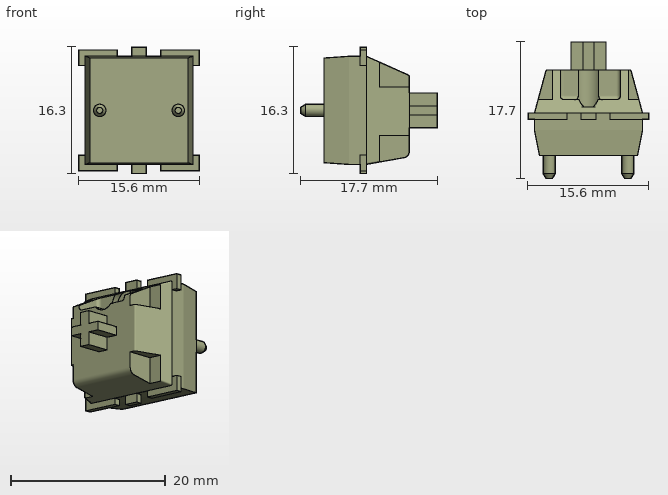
import cadquery as cq


housing_size = 14.02
straight_depth = 2.25
bottom_depth = 5.53
floor_width = 12.70
floor_height = 13.56

tab_thickness = 0.85
tab_half_span = 7.82
corner_tab_inner_x = 2.79
corner_tab_inner_z = 5.80
middle_tab_width = 1.90
middle_tab_half_span = 16.33 / 2

top_base_half = 6.99
top_height = 5.53
top_half_width = 5.49
top_upper_z = 4.52
top_lower_z = -6.01
corner_round = 0.2
side_round = 0.17
upper_round = 0.3
lower_round = 0.85

notch_base_y = 1.69
notch_left_x = -4.66
notch_right_x = 5.15
notch_upper_z = 3.0
notch_lower_z = -3.22

pocket_left_x = -3.65
pocket_right_x = 4.13
pocket_floor_z = 3.85
pocket_round = 0.5
lamp_hole_diameter = 3.5
lamp_hole_z = 5.0
lamp_hole_base_y = 0.72

stem_span = 4.54
stem_length = 3.62
upright_arm_thickness = 1.40
level_arm_thickness = 1.15

pin_diameter = 1.6
pin_tip_diameter = 0.8
pin_length = 3.0
pin_tip_length = 0.66
pin_half_spacing = 5.08

clearance = 10.0


def block(x_range, y_range, z_range):
    """Box between two limits along each axis."""
    low, high = zip(x_range, y_range, z_range)
    sizes = [end - start for start, end in zip(low, high)]
    return cq.Workplane("XY").box(*sizes, centered=False).translate(low)


def make_bottom_housing():
    half = housing_size / 2
    body = block((-half, half), (-straight_depth, 0), (-half, half))
    taper = (
        cq.Workplane("XZ", origin=(0, -straight_depth, 0))
        .rect(housing_size, housing_size)
        .workplane(offset=bottom_depth - straight_depth)
        .rect(floor_width, floor_height)
        .loft(ruled=True)
    )
    body = body.union(taper)

    tab_y = (-tab_thickness, 0)
    middle_half = middle_tab_width / 2
    body = body.union(
        block((-middle_half, middle_half), tab_y, (-middle_tab_half_span, middle_tab_half_span))
    )
    corner_tab = block((corner_tab_inner_x, tab_half_span), tab_y, (corner_tab_inner_z, tab_half_span))
    right_tabs = corner_tab.union(corner_tab.mirror("XY"))
    return body.union(right_tabs).union(right_tabs.mirror("YZ"))


def make_top_block():
    """Block whose four sides lean inward at different angles, with rounded corners."""
    width_prism = (
        cq.Workplane("XY")
        .polyline([
            (-top_base_half, 0),
            (top_base_half, 0),
            (top_half_width, top_height),
            (-top_half_width, top_height),
        ])
        .close()
        .extrude(top_base_half, both=True)
    )
    height_prism = (
        cq.Workplane("YZ")
        .polyline([
            (0, -top_base_half),
            (0, top_base_half),
            (top_height, top_upper_z),
            (top_height, top_lower_z),
        ])
        .close()
        .extrude(top_base_half, both=True)
    )
    return width_prism.intersect(height_prism).edges("not(|X or |Z)").fillet(corner_round)


def cut_corner_notches(body):
    notch_y = (notch_base_y, top_height + clearance)
    for x_range in ((-clearance, notch_left_x), (notch_right_x, clearance)):
        for z_range in ((-clearance, notch_lower_z), (notch_upper_z, clearance)):
            body = body.cut(block(x_range, notch_y, z_range))
    return body


def round_top_edges(body):
    for edge, radius in (("<X", side_round), (">X", side_round), (">Z", upper_round), ("<Z", lower_round)):
        body = body.faces(">Y").edges(edge).fillet(radius)
    return body


def make_top_housing():
    body = round_top_edges(cut_corner_notches(make_top_block()))
    pocket = block(
        (pocket_left_x, pocket_right_x),
        (notch_base_y, top_height + clearance),
        (pocket_floor_z, clearance),
    ).edges().fillet(pocket_round)
    lamp_hole = (
        cq.Workplane("XZ", origin=(0, lamp_hole_base_y, lamp_hole_z))
        .circle(lamp_hole_diameter / 2)
        .extrude(-top_height)
    )
    return body.cut(pocket).cut(lamp_hole)


def make_stem():
    """Cross-shaped stem standing on the top housing."""
    return (
        cq.Workplane("XZ", origin=(0, top_height, 0))
        .rect(upright_arm_thickness, stem_span)
        .extrude(-stem_length)
        .union(
            cq.Workplane("XZ", origin=(0, top_height, 0))
            .rect(stem_span, level_arm_thickness)
            .extrude(-stem_length)
        )
    )


def make_contact_pin(x):
    """Pin with a conical tip, standing on the floor of the bottom housing."""
    return (
        cq.Workplane("XZ", origin=(x, -bottom_depth, 0))
        .circle(pin_diameter / 2)
        .extrude(pin_length)
        .faces("<Y")
        .chamfer(pin_tip_length, (pin_diameter - pin_tip_diameter) / 2)
    )


bottom_housing = make_bottom_housing()
top_housing = make_top_housing()
stem = make_stem()
contact_pins = [make_contact_pin(x) for x in (-pin_half_spacing, pin_half_spacing)]

result = cq.Compound.makeCompound([
    bottom_housing.solids().val(),
    top_housing.solids().val(),
    stem.solids().val(),
    *[pin.solids().val() for pin in contact_pins],
])